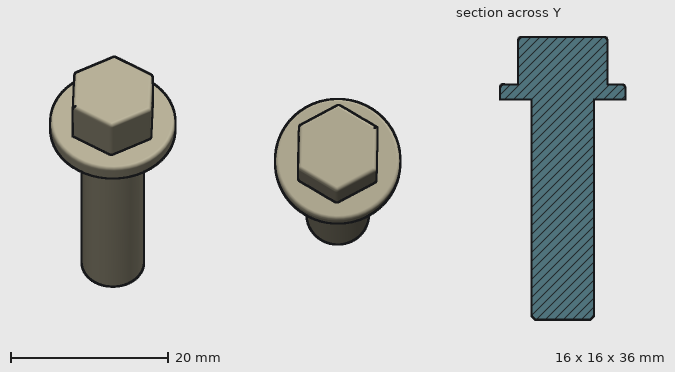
import cadquery as cq
import math

total_length = 36.0
shank_diameter = 8.0
shank_chamfer = 0.5
flange_diameter = 16.0
shank_length = 28.0
head_height = 6.0
head_across_flats = 10.0
edge_radius = 0.5

flange_top = total_length - head_height
flange_thickness = flange_top - shank_length
head_across_corners = head_across_flats / math.cos(math.radians(30))


def make_shank():
    shank = cq.Workplane("XY").circle(shank_diameter / 2).extrude(shank_length)
    return shank.faces("<Z").chamfer(shank_chamfer)


def make_flange():
    flange = (
        cq.Workplane("XY", origin=(0, 0, shank_length))
        .circle(flange_diameter / 2)
        .extrude(flange_thickness)
    )
    return flange.faces(">Z").edges().fillet(edge_radius)


def make_head():
    """Hexagonal head with corners along X, rounded except at the (-X, -Y) corner."""
    head = (
        cq.Workplane("XY", origin=(0, 0, flange_top))
        .polygon(6, head_across_corners)
        .extrude(head_height)
    )
    sharp_edge = "|Z and <(1, 2, 0)"
    return head.edges(f"(|Z or >Z) exc ({sharp_edge})").fillet(edge_radius)


result = make_shank().union(make_flange()).union(make_head())